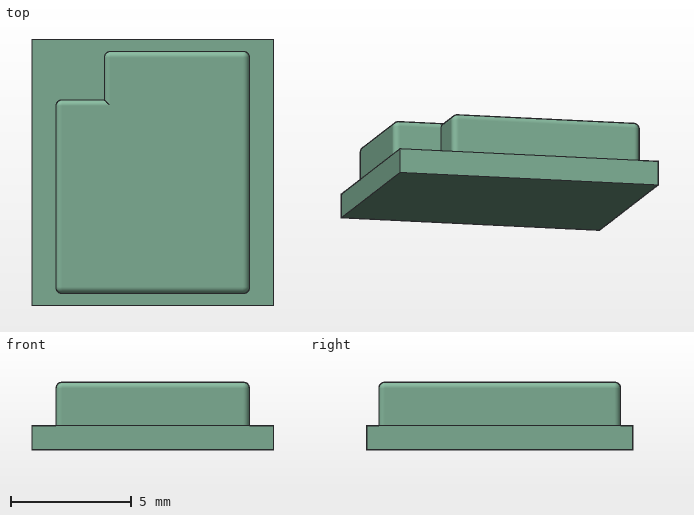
import cadquery as cq

board_width = 10.0
board_length = 11.0
board_thickness = 1.0

side_margin = 1.0
end_margin = 0.5
can_width = board_width - 2 * side_margin
can_length = board_length - 2 * end_margin
can_height = 1.8
notch_size = 2.0
edge_radius = 0.25


def make_board():
    return cq.Workplane("XY").box(
        board_width, board_length, board_thickness, centered=(True, True, False)
    )


def make_can():
    """Block with a square notch in its -X +Y corner and rounded outer edges."""
    left = -can_width / 2
    back = can_length / 2
    outline = [
        (left, -back),
        (-left, -back),
        (-left, back),
        (left + notch_size, back),
        (left + notch_size, back - notch_size),
        (left, back - notch_size),
    ]
    block = cq.Workplane("XY").workplane(offset=board_thickness).polyline(outline).close().extrude(can_height)

    inner_corner = cq.selectors.NearestToPointSelector(
        (left + notch_size, back - notch_size, board_thickness + can_height / 2)
    )
    outer_edges = cq.selectors.StringSyntaxSelector("|Z") - inner_corner
    top_edges = cq.selectors.StringSyntaxSelector(">Z")
    return block.edges(outer_edges + top_edges).fillet(edge_radius)


result = make_board().union(make_can())